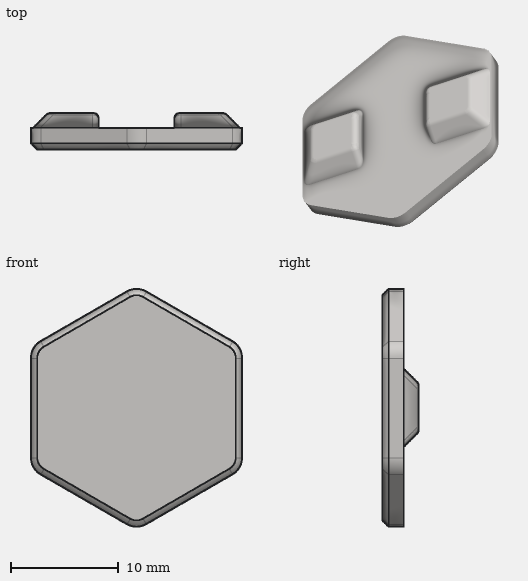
import cadquery as cq
import math

plate_width = 19.6
plate_thickness = 2.0
corner_radius = 1.8
front_chamfer = 0.6

pad_height = 1.4
pad_inner_x = 3.49
pad_outer_x = 9.6
pad_base_length = 7.25
pad_slope = 45.0
pad_slanted_edge_radius = 0.86
pad_inner_edge_radius = 0.6
pad_rim_radius = 0.57


def make_plate():
    """Hexagonal plate with rounded corners and a chamfered front rim."""
    across_corners = plate_width / math.cos(math.radians(30))
    plate = (
        cq.Workplane("XZ")
        .transformed(rotate=(0, 0, 90))
        .polygon(6, across_corners)
        .extrude(-plate_thickness)
    )
    return plate.edges("|Y").fillet(corner_radius).faces("<Y").chamfer(front_chamfer)


def make_pad():
    """Pad on the +X side: upright inner wall, other three walls sloped."""
    slope_run = pad_height / math.tan(math.radians(pad_slope))
    back_y = plate_thickness + pad_height
    top_outer_x = pad_outer_x - slope_run
    half_base = pad_base_length / 2
    half_top = half_base - slope_run

    across = (
        cq.Workplane("XY")
        .polyline([
            (pad_inner_x, plate_thickness),
            (pad_outer_x, plate_thickness),
            (top_outer_x, back_y),
            (pad_inner_x, back_y),
        ])
        .close()
        .extrude(half_base, both=True)
    )
    along = (
        cq.Workplane("YZ")
        .polyline([
            (plate_thickness, -half_base),
            (plate_thickness, half_base),
            (back_y, half_top),
            (back_y, -half_top),
        ])
        .close()
        .extrude(plate_width / 2)
    )
    pad = across.intersect(along)

    pad = pad.edges("not(#Y)").edges(">X").fillet(pad_slanted_edge_radius)
    pad = pad.faces("<X").edges("not(|Z)").fillet(pad_inner_edge_radius)
    return pad.faces(">Y").edges().fillet(pad_rim_radius)


pad = make_pad()
result = make_plate().union(pad).union(pad.mirror("YZ"))